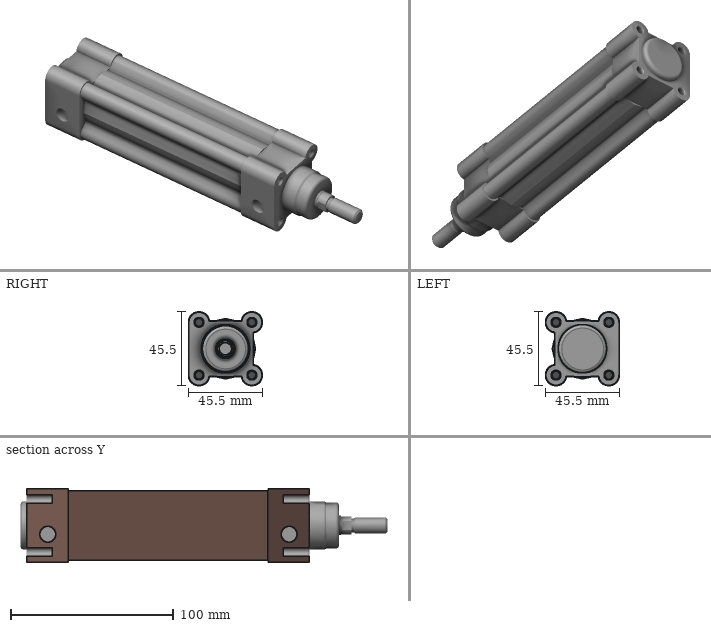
import cadquery as cq
import math


overall_length = 226.0
spigot_length = 3.6
rear_cap_length = 26.0
barrel_length = 123.0
front_cap_length = 25.3
collar_length = 18.3

barrel_start = spigot_length + rear_cap_length
front_cap_start = barrel_start + barrel_length
collar_start = front_cap_start + front_cap_length
collar_end = collar_start + collar_length

boss_offset = 16.3
boss_radius = 6.45
cap_half_size = boss_offset + boss_radius
web_half_size = 17.2
tie_hole_diameter = 5.9
tie_hole_chamfer = 0.5
tie_hole_depth = 15.8
port_diameter = 9.5
port_depth = 10.0
port_drop = 5.5
port_to_barrel = 12.9

spigot_radius = 15.0
spigot_edge_radius = 2.0
collar_tip_radius = 14.2
collar_tip_length = 8.0
collar_cone_length = 1.1
collar_edge_radius = 2.0

barrel_radius = 18.0
ridge_half_width = 3.8
channel_radius = 5.2
y_side_fillet_radius = 2.5
z_side_fillet_radius = 1.1

rod_radius = 6.0
rod_step = 197.5
rod_end_radius = 5.6
wrench_flat_start = 198.5
wrench_flat_half_width = 5.0
rod_shoulder = 203.9
relief_radius = 4.3
relief_length = 1.4
relief_cone_length = 1.1
thread_radius = 5.0
thread_chamfer = 1.1

boss_centers = [(y, z) for y in (-boss_offset, boss_offset) for z in (-boss_offset, boss_offset)]


def plane_at(x):
    """Workplane facing +X whose local axes are the global Y and Z."""
    return cq.Workplane("YZ", origin=(x, 0, 0))


def turned(points):
    """Solid of revolution about the X axis from (x, radius) points."""
    return cq.Workplane("XY").polyline(points).close().revolve(360, (0, 0, 0), (1, 0, 0))


def cap_block(start, length):
    """Square web with four corner bosses and a -Y face flush with the bosses."""
    web = plane_at(start).rect(2 * web_half_size, 2 * web_half_size).extrude(length)
    bosses = plane_at(start).pushPoints(boss_centers).circle(boss_radius).extrude(length)
    flush_side = (
        plane_at(start)
        .center(-cap_half_size / 2, 0)
        .rect(cap_half_size, 2 * boss_offset)
        .extrude(length)
    )
    return web.union(bosses).union(flush_side)


def tie_holes(face_x, inward):
    """Blind chamfered holes in the bosses; inward is the drilling direction along X, +1 or -1."""
    hole_radius = tie_hole_diameter / 2
    bottom_radius = hole_radius - tie_hole_chamfer
    bottoms = plane_at(face_x).pushPoints(boss_centers).circle(bottom_radius).extrude(inward * tie_hole_depth)
    mouths = (
        plane_at(face_x)
        .pushPoints(boss_centers)
        .circle(hole_radius)
        .extrude(inward * tie_hole_chamfer, taper=45)
    )
    return bottoms.union(mouths)


def port(x):
    """Blind air port in the -Y face."""
    return (
        cq.Workplane("XZ", origin=(x, -cap_half_size, -port_drop))
        .circle(port_diameter / 2)
        .extrude(-port_depth)
    )


def make_rear_cap():
    spigot = plane_at(0).circle(spigot_radius).extrude(spigot_length)
    spigot = spigot.faces("<X").edges().fillet(spigot_edge_radius)
    cap = cap_block(spigot_length, rear_cap_length).union(spigot)
    cap = cap.cut(tie_holes(spigot_length, 1))
    return cap.cut(port(barrel_start - port_to_barrel))


def make_front_cap():
    tip_start = collar_end - collar_tip_length
    collar = turned([
        (collar_start, 0),
        (collar_start, spigot_radius),
        (tip_start - collar_cone_length, spigot_radius),
        (tip_start, collar_tip_radius),
        (collar_end, collar_tip_radius),
        (collar_end, 0),
    ])
    collar = collar.faces(">X").edges().fillet(collar_edge_radius)
    cap = cap_block(front_cap_start, front_cap_length).union(collar)
    cap = cap.cut(tie_holes(collar_start, -1))
    cap = cap.cut(port(front_cap_start + port_to_barrel))
    rod_bore = plane_at(front_cap_start).circle(rod_radius).extrude(collar_end - front_cap_start)
    return cap.cut(rod_bore)


def barrel_core():
    """Round barrel with a pointed ridge, tangent to the round, on each side."""
    ridge_foot = math.sqrt(barrel_radius**2 - ridge_half_width**2)
    ridge_peak = barrel_radius**2 / ridge_foot
    core = plane_at(barrel_start).circle(barrel_radius).extrude(barrel_length)
    ridge_outline = [(0, 0), (ridge_foot, -ridge_half_width), (ridge_peak, 0), (ridge_foot, ridge_half_width)]
    for quarter in range(4):
        ridge = (
            plane_at(barrel_start)
            .polyline(ridge_outline)
            .close()
            .extrude(barrel_length)
            .rotate((0, 0, 0), (1, 0, 0), 90 * quarter)
        )
        core = core.union(ridge)
    return core


def tie_channels():
    """Two diagonal bars with round ends, forming the four corner channels."""
    slot_length = 2 * (math.hypot(boss_offset, boss_offset) + channel_radius)
    slot_width = 2 * channel_radius
    rising = plane_at(barrel_start).slot2D(slot_length, slot_width, 45).extrude(barrel_length)
    falling = plane_at(barrel_start).slot2D(slot_length, slot_width, -45).extrude(barrel_length)
    return rising.union(falling)


def make_barrel():
    barrel = barrel_core().union(tie_channels())
    half_angle = math.asin(channel_radius / barrel_radius)
    near = barrel_radius * math.cos(math.pi / 4 + half_angle)
    far = barrel_radius * math.sin(math.pi / 4 + half_angle)
    reach = 0.2
    for radius, y, z in ((y_side_fillet_radius, far, near), (z_side_fillet_radius, near, far)):
        for sign_y in (-1, 1):
            for sign_z in (-1, 1):
                corner = cq.selectors.BoxSelector(
                    (barrel_start, sign_y * y - reach, sign_z * z - reach),
                    (front_cap_start, sign_y * y + reach, sign_z * z + reach),
                )
                barrel = barrel.edges(corner).fillet(radius)
    return barrel


def make_rod():
    relief_end = rod_shoulder + relief_length
    rod = turned([
        (front_cap_start, 0),
        (front_cap_start, rod_radius),
        (rod_step, rod_radius),
        (rod_step, rod_end_radius),
        (rod_shoulder, rod_end_radius),
        (rod_shoulder, relief_radius),
        (relief_end, relief_radius),
        (relief_end + relief_cone_length, thread_radius),
        (overall_length - thread_chamfer, thread_radius),
        (overall_length, thread_radius - thread_chamfer),
        (overall_length, 0),
    ])
    flat_length = rod_shoulder - wrench_flat_start
    for side in (-1, 1):
        flat_cut = (
            cq.Workplane("XY")
            .box(flat_length, rod_radius, 2 * rod_radius, centered=(False, True, True))
            .translate((wrench_flat_start, side * (wrench_flat_half_width + rod_radius / 2), 0))
        )
        rod = rod.cut(flat_cut)
    return rod


rear_cap = make_rear_cap()
barrel = make_barrel()
front_cap = make_front_cap()
rod = make_rod()

result = cq.Compound.makeCompound([rear_cap.val(), barrel.val(), front_cap.val(), rod.val()])